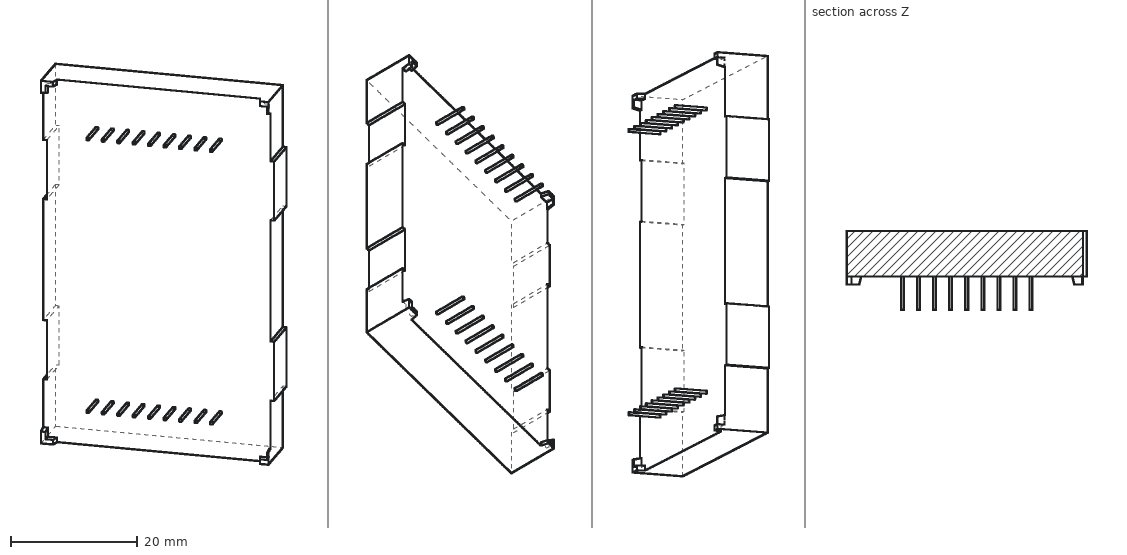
import cadquery as cq

width = 38.0
height = 60.8
depth = 7.25

step_depth = 0.6
step_inner_z = 10.15
step_outer_z = 20.05

foot_height = 1.3
foot_wall = 0.8
foot_length = 2.3
foot_end_taper = 0.3

pin_diameter = 0.5
pin_length = 5.3
pins_per_row = 9
pin_row_length = 20.3
pin_row_spacing = 45.7


def box(x_min, x_max, y_min, y_max, z_min, z_max):
    """Box spanning the given limits."""
    size = (x_max - x_min, y_max - y_min, z_max - z_min)
    return cq.Workplane("XY").box(*size, centered=False).translate((x_min, y_min, z_min))


def housing():
    """Main block."""
    return box(-width / 2, width / 2, -depth, 0, -height / 2, height / 2)


def corner_foot():
    """L-shaped foot in the -X, +Z corner, with the ends of both arms sloping inwards."""
    tip_length = foot_length - foot_end_taper
    arm_profile = [
        (0, 0),
        (foot_length, 0),
        (tip_length, foot_height),
        (0, foot_height),
    ]
    top_arm = (
        cq.Workplane("XY")
        .polyline([(along, -rise) for along, rise in arm_profile])
        .close()
        .extrude(-foot_wall)
    )
    side_arm = (
        cq.Workplane("YZ")
        .polyline([(-rise, -along) for along, rise in arm_profile])
        .close()
        .extrude(foot_wall)
    )
    return top_arm.union(side_arm).translate((-width / 2, -depth, height / 2))


def feet():
    """One foot in each corner, mirrored about the part centre."""
    left_top = corner_foot()
    top = left_top.union(left_top.mirror("YZ"))
    return top.union(top.mirror("XY"))


def side_cuts():
    """Material removed from both sides to leave the recesses on -X and the tabs on +X."""
    y_min = -depth - foot_height
    left = -width / 2
    right = width / 2
    recess = box(left, left + step_depth, y_min, 0, step_inner_z, step_outer_z)
    end_strip = box(right - step_depth, right, y_min, 0, step_outer_z, height / 2)
    upper = recess.union(end_strip)
    middle_strip = box(right - step_depth, right, y_min, 0, -step_inner_z, step_inner_z)
    return upper.union(upper.mirror("XY")).union(middle_strip)


def pins():
    """Both rows of pins, projecting from the rear plate towards -Y."""
    pitch = pin_row_length / (pins_per_row - 1)
    return (
        cq.Workplane("XZ", origin=(0, -depth, 0))
        .rarray(pitch, pin_row_spacing, pins_per_row, 2)
        .circle(pin_diameter / 2)
        .extrude(pin_length)
    )


result = housing().union(feet()).cut(side_cuts()).union(pins())